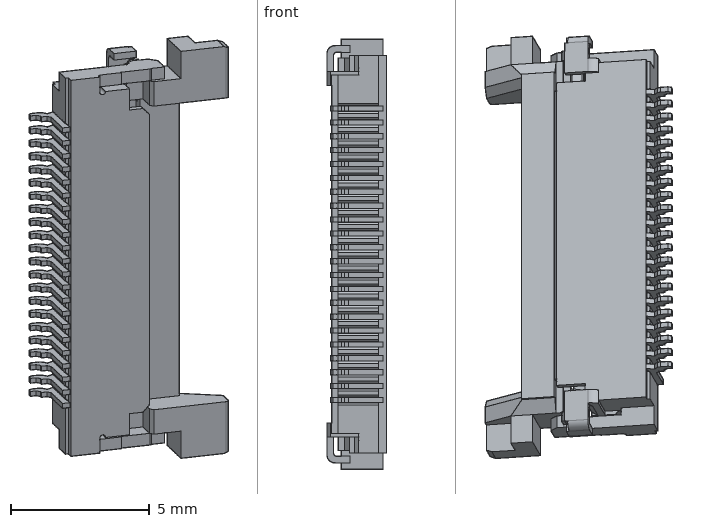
import cadquery as cq


length = 15.5
depth = 7.0
height = 2.15

cover_x = 0.17
cover_inner_x = 0.4
ledge_x = 1.15
shelf_x = 1.4
floor_x = 1.89
front_y = 0.93
raised_front_y = 0.82
raised_front_x = 1.86
back_y = 3.16
floor_back_y = 3.92
floor_bevel_y = 3.67
ledge_z = 6.45
rib_z = 6.59
wall_z = 7.16
beam_inner_z = 6.71
slot_end_y = 2.03
slot_end_radius = 0.11
mouth_z = 5.78
rib_y = 2.67
rib_bevel_y = 2.93
cover_back_y = 4.2

plate_back_y = 5.5
plate_front_y = 4.3
plate_inner_x = 0.85
plate_z = 6.2
hinge_z = 5.5
arm_x = 0.51
arm_back_x = 2.03
arm_front_y = 4.01
arm_tip_x = 1.05
arm_step_y = 5.95
slope = (arm_tip_x - arm_x) / (depth - arm_step_y)
plate_bevel_x = arm_x - slope * (arm_step_y - plate_back_y)
arm_corner = 0.12
arm_bevel_z = 0.33
arm_bevel_depth = 0.25
pad_front_y = 5.16
pad_step_x = 1.29
pad_bevel_y = 0.2
pad_bevel_z = 0.08

latch_front_y = 3.02
latch_back_y = 3.88
latch_sheet = 0.25
latch_radius = 0.3
latch_top_z = 7.52
latch_bottom_z = 6.08
latch_tip_x = 0.84
latch_notch_y = 3.77

terminal_count = 22
terminal_row = 10.5
terminal_pitch = terminal_row / (terminal_count - 1)
terminal_width = 0.19
notch_base = 0.2
notch_mouth = 0.35
bar_front_y = 0.65
tail_x = 0.14


def block(x0, x1, y0, y1, z0, z1):
    """Box between the given limits."""
    return cq.Workplane("XY").box(x1 - x0, y1 - y0, z1 - z0, centered=False).translate((x0, y0, z0))


def bar(x0, x1, y0, y1, half_length):
    """Box centred on Z = 0."""
    return block(x0, x1, y0, y1, -half_length, half_length)


def prism_z(points, z0, z1):
    """Outline in X and Y, extruded from z0 to z1."""
    return cq.Workplane("XY").workplane(offset=z0).polyline(points).close().extrude(z1 - z0)


def prism_y(points, y0, y1):
    """Outline in X and Z, extruded from y0 to y1."""
    return cq.Workplane("XZ", origin=(0, y0, 0)).polyline(points).close().extrude(y0 - y1)


def prism_x(points, x0, x1):
    """Outline in Y and Z, extruded from x0 to x1."""
    return cq.Workplane("YZ", origin=(x0, 0, 0)).polyline(points).close().extrude(x1 - x0)


def both_ends(upper):
    """The given upper-end feature together with its mirror image."""
    return upper.union(upper.mirror("XY"))


def make_core():
    core = bar(cover_x, height, front_y, back_y, ledge_z)
    core = core.union(bar(shelf_x, height, front_y, back_y, rib_z))
    core = core.union(bar(ledge_x, height, front_y, slot_end_y, wall_z))
    slot_end = (
        cq.Workplane("YZ", origin=(ledge_x, slot_end_y + slot_end_radius, rib_z))
        .circle(slot_end_radius).extrude(height - ledge_x)
    )
    core = core.cut(both_ends(slot_end))
    core = core.union(bar(cover_inner_x, raised_front_x, raised_front_y, front_y, ledge_z))
    core = core.union(bar(ledge_x, raised_front_x, raised_front_y, front_y, wall_z))
    rib = prism_x(
        [(rib_y, 0), (rib_y, rib_z), (rib_bevel_y, rib_z), (back_y, ledge_z), (back_y, 0)],
        cover_x, shelf_x,
    )
    core = core.union(both_ends(rib))
    return core.union(bar(cover_x, cover_inner_x, back_y, cover_back_y, mouth_z))


def make_floor():
    bevel = floor_back_y - floor_bevel_y
    half = prism_x(
        [(back_y, 0), (back_y, mouth_z), (floor_bevel_y, mouth_z),
         (floor_back_y, mouth_z - bevel), (floor_back_y, 0)],
        floor_x, height,
    )
    return both_ends(half)


def make_beam():
    """Free side beam of the upper end, with a hooked rear and a lug and neck on the hook."""
    hook_x = 0.82
    hook_y = 3.55
    hook_bevel = 0.28
    neck_bevel = 0.15
    beam_back_y = 4.6
    beam_back_x = 1.85
    step_y = 4.1
    step_bevel = 0.08
    relief_y = 2.93
    relief_x = 1.94
    relief_corner = 0.08
    nose_y = 3.41
    lug_x = 0.4
    lug_slope_x = 0.64
    lug_front_y = 3.74
    lug_z = 7.07
    lug_bevel = 0.06
    beam = prism_z(
        [(ledge_x, slot_end_y), (ledge_x, hook_y - neck_bevel), (ledge_x - neck_bevel, hook_y),
         (hook_x, hook_y), (hook_x, beam_back_y - hook_bevel), (hook_x + hook_bevel, beam_back_y),
         (beam_back_x, beam_back_y), (beam_back_x, step_y), (floor_x, step_y - step_bevel),
         (floor_x, relief_y), (relief_x, relief_y),
         (relief_x, slot_end_y + relief_corner), (relief_x + relief_corner, slot_end_y)],
        beam_inner_z, wall_z,
    )
    lug = prism_z(
        [(lug_x, lug_front_y), (lug_slope_x, lug_front_y), (hook_x, nose_y), (hook_x, arm_front_y),
         (lug_x, arm_front_y)],
        mouth_z, lug_z,
    )
    lug_rear = prism_z(
        [(lug_x, arm_front_y), (lug_x + lug_bevel, arm_front_y + lug_bevel),
         (hook_x, arm_front_y + lug_bevel), (hook_x, arm_front_y)],
        beam_inner_z, lug_z,
    )
    neck = prism_z(
        [(hook_x, hook_y), (ledge_x - neck_bevel, hook_y), (ledge_x, hook_y - neck_bevel),
         (ledge_x, arm_front_y), (hook_x, arm_front_y)],
        mouth_z, beam_inner_z,
    )
    return beam.union(lug).union(lug_rear).union(neck)


def make_plate():
    """Lid of the actuator, spanning the two arms."""
    lid = prism_y(
        [(cover_x, -plate_z), (cover_x, plate_z), (plate_bevel_x, plate_z), (arm_x, beam_inner_z),
         (plate_inner_x, beam_inner_z), (plate_inner_x, -beam_inner_z), (arm_x, -beam_inner_z),
         (plate_bevel_x, -plate_z)],
        plate_front_y, plate_back_y,
    )
    outer_hinge = bar(plate_bevel_x, plate_inner_x, arm_front_y, plate_front_y, hinge_z)
    inner_hinge = bar(arm_x, plate_inner_x, arm_front_y, plate_front_y, mouth_z)
    return lid.union(outer_hinge).union(inner_hinge)


def make_arm():
    """Actuator arm of the upper end, with its outer pad."""
    arm = prism_z(
        [(arm_tip_x, depth), (arm_back_x, depth), (arm_back_x, arm_front_y + arm_corner),
         (arm_back_x - arm_corner, arm_front_y), (arm_x, arm_front_y), (arm_x, plate_back_y),
         (plate_bevel_x, plate_back_y)],
        mouth_z, beam_inner_z,
    )
    arm = arm.cut(prism_y(
        [(cover_x, beam_inner_z), (cover_x, plate_z), (plate_bevel_x, plate_z),
         (arm_x, beam_inner_z)],
        plate_back_y, depth,
    ))
    slope_section = cq.Plane(
        origin=(plate_bevel_x, plate_back_y, mouth_z), xDir=(-1, slope, 0), normal=(slope, 1, 0))
    bevel = (
        cq.Workplane(slope_section)
        .polyline([(0, 0), (0, arm_bevel_z), (-arm_bevel_depth, 0)]).close()
        .extrude(depth - arm_front_y)
    )
    arm = arm.cut(bevel)
    top_z = length / 2
    pad = prism_x(
        [(pad_front_y, beam_inner_z), (pad_front_y, top_z), (depth - pad_bevel_y, top_z),
         (depth, top_z - pad_bevel_z), (depth, beam_inner_z)],
        arm_x, arm_back_x,
    )
    pad = pad.cut(block(arm_x, pad_step_x, arm_step_y, depth, beam_inner_z, top_z))
    arm = arm.union(pad)
    outer_corner = cq.NearestToPointSelector((arm_back_x, depth, beam_inner_z))
    return arm.edges("|Z").edges(outer_corner).fillet(arm_corner)


def make_latch():
    """Bent sheet latch of the upper end, with the foot that joins it to the cover."""
    inner_radius = 0.11
    foot_middle = (0.03, 2.84)
    foot_front_x = 0.12
    hook = (
        cq.Workplane("XZ", origin=(0, latch_front_y, 0))
        .moveTo(0, latch_bottom_z)
        .lineTo(0, latch_top_z - latch_radius)
        .radiusArc((latch_radius, latch_top_z), latch_radius)
        .lineTo(latch_tip_x, latch_top_z)
        .lineTo(latch_tip_x, latch_top_z - latch_sheet)
        .lineTo(latch_sheet + inner_radius, latch_top_z - latch_sheet)
        .radiusArc((latch_sheet, latch_top_z - latch_sheet - inner_radius), -inner_radius)
        .lineTo(latch_sheet, latch_bottom_z)
        .close()
        .extrude(latch_front_y - latch_back_y)
    )
    notch = block(0, latch_radius, latch_notch_y, latch_back_y, latch_top_z - latch_radius, latch_top_z)
    foot = (
        cq.Workplane("XY", origin=(0, 0, latch_bottom_z))
        .moveTo(0, latch_front_y)
        .threePointArc(foot_middle, (foot_front_x, rib_y))
        .lineTo(cover_inner_x, rib_y)
        .lineTo(cover_inner_x, rib_bevel_y)
        .lineTo(latch_sheet, latch_front_y)
        .close()
        .extrude(rib_z - latch_bottom_z)
    )
    return hook.cut(notch).union(foot)


def make_terminal():
    """One terminal, centred on Z = 0."""
    tail_inner_x = 0.4
    knee_x = 0.64
    knee_y = 0.33
    tail_edge = [(0.35, bar_front_y), (0.19, 0.51), (tail_x, 0.39), (tail_x, 0.11), (0.22, 0)]
    inner_edge = [(tail_inner_x, 0), (tail_inner_x, 0.2), (0.53, knee_y), (knee_x, knee_y), (knee_x, 0.55)]
    straight_bar = [(0.78, bar_front_y), (arm_back_x, bar_front_y), (arm_back_x, front_y), (0.22, front_y)]
    return prism_z(tail_edge + inner_edge + straight_bar, -terminal_width / 2, terminal_width / 2)


def make_notch():
    """Flared notch in the raised front around one terminal."""
    return prism_x(
        [(front_y, -notch_base / 2), (front_y, notch_base / 2),
         (raised_front_y, notch_mouth / 2), (raised_front_y, -notch_mouth / 2)],
        cover_inner_x, raised_front_x,
    )


housing = make_core().union(make_floor())
notch = make_notch()
terminal = make_terminal()
terminal_places = [(i - (terminal_count - 1) / 2) * terminal_pitch for i in range(terminal_count)]
for z in terminal_places:
    housing = housing.cut(notch.translate((0, 0, z)))
for z in terminal_places:
    housing = housing.union(terminal.translate((0, 0, z)))

result = housing.union(make_plate())
for make_end_feature in (make_beam, make_arm, make_latch):
    result = result.union(both_ends(make_end_feature()))